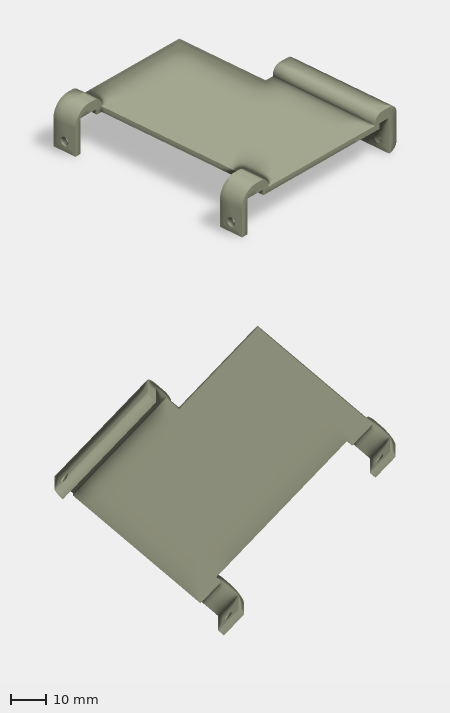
import cadquery as cq

length = 73.0
depth = 65.0
height = 15.5

plate_top = 12.0
plate_thickness = 1.9
plate_bottom = plate_top - plate_thickness
plate_front = 10.95
notch_length = 33.4
notch_depth = 12.05

small_radius = 3.0
lip_overlap = 2.0

hook_width = 9.05
hook_wall = 3.2

clip_length = 8.55
clip_wall = 2.2
clip_outer_radius = 6.0
hole_diameter = 3.0
hole_height = 3.35


def box(x_min, x_max, y_min, y_max, z_min, z_max):
    """Box between the given limits."""
    size = (x_max - x_min, y_max - y_min, z_max - z_min)
    return cq.Workplane("XY").box(*size, centered=False).translate((x_min, y_min, z_min))


def make_plate():
    plate = box(0, length, plate_front, depth - notch_depth, plate_bottom, plate_top)
    hook_tongue_end = depth - hook_width + lip_overlap
    tongue = box(notch_length, length, plate_front, hook_tongue_end, plate_bottom, plate_top)
    return plate.union(tongue)


def make_hook():
    """Rounded L-section hanging down along the back edge."""
    hook = box(notch_length, length, depth - hook_width, depth, 0, height)
    hook = hook.edges("|X and >Z").fillet(small_radius)
    hook = hook.edges("|X and >Y and <Z").fillet(small_radius)
    space_below = box(notch_length, length, depth - hook_width, depth - hook_wall, 0, plate_top)
    return hook.cut(space_below)


def make_clip(x_min):
    """Rounded front clip with a tongue joining the plate."""
    x_max = x_min + clip_length
    clip = box(x_min, x_max, 0, plate_front, 0, height)
    clip = clip.edges("|X and >Z and <Y").fillet(clip_outer_radius)
    clip = clip.edges("|X and >Z and >Y").fillet(small_radius)
    clip = clip.cut(box(x_min, x_max, clip_wall, plate_front, 0, plate_top))
    tongue = box(x_min, x_max, plate_front - lip_overlap, plate_front, plate_bottom, plate_top)
    return clip.union(tongue)


def make_hole(x_center):
    """Cylinder along Y that drills a clip leg and any hook wall behind it."""
    return (
        cq.Workplane("XZ")
        .center(x_center, hole_height)
        .circle(hole_diameter / 2)
        .extrude(-depth)
    )


result = make_plate().union(make_hook())
for clip_start in (0, length - clip_length):
    result = result.union(make_clip(clip_start))
    result = result.cut(make_hole(clip_start + clip_length / 2))